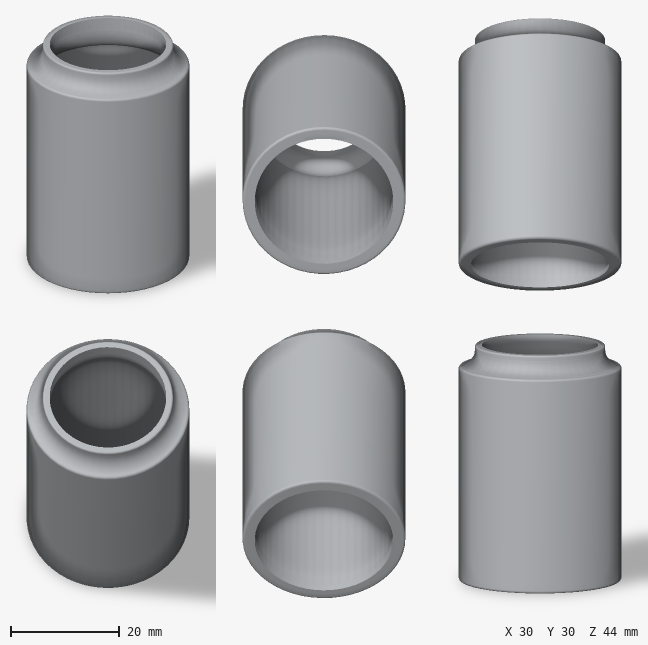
import cadquery as cq
import math

height = 44.0
outer_radius = 15.0
body_bore_radius = 12.75
edge_round = 0.5

neck_radius = 12.0
neck_bore_radius = 10.75
neck_straight_height = 0.95
lip_round = 0.35

neck_bore_depth = 2.5
flare_radius = 5.0


def arc_point(center, radius, angle):
    """Point on a circle in the radial half-plane, with the angle in radians."""
    return (center[0] + radius * math.cos(angle), center[1] + radius * math.sin(angle))


shoulder_radius = outer_radius - neck_radius
shoulder_center = (outer_radius, height - neck_straight_height)

round_center_radius = outer_radius - edge_round
round_drop = math.sqrt((shoulder_radius + edge_round) ** 2 - edge_round**2)
round_center = (round_center_radius, shoulder_center[1] - round_drop)
round_angle = math.atan2(round_drop, edge_round)
shoulder_end_angle = math.pi + round_angle
shoulder_mid_angle = (math.pi + shoulder_end_angle) / 2

flare_center = (neck_bore_radius + flare_radius, height - neck_bore_depth)
flare_sweep = math.acos((flare_center[0] - body_bore_radius) / flare_radius)
flare_end = arc_point(flare_center, flare_radius, math.pi + flare_sweep)
flare_middle = arc_point(flare_center, flare_radius, math.pi + flare_sweep / 2)

wall_section = (
    cq.Workplane("XZ")
    .moveTo(body_bore_radius, 0)
    .lineTo(outer_radius - edge_round, 0)
    .radiusArc((outer_radius, edge_round), -edge_round)
    .lineTo(outer_radius, round_center[1])
    .threePointArc(
        arc_point(round_center, edge_round, round_angle / 2),
        arc_point(round_center, edge_round, round_angle),
    )
    .threePointArc(
        arc_point(shoulder_center, shoulder_radius, shoulder_mid_angle),
        (neck_radius, shoulder_center[1]),
    )
    .lineTo(neck_radius, height - lip_round)
    .radiusArc((neck_radius - lip_round, height), -lip_round)
    .lineTo(neck_bore_radius, height)
    .lineTo(neck_bore_radius, flare_center[1])
    .threePointArc(flare_middle, flare_end)
    .close()
)
result = wall_section.revolve(360, (0, 0, 0), (0, 1, 0))